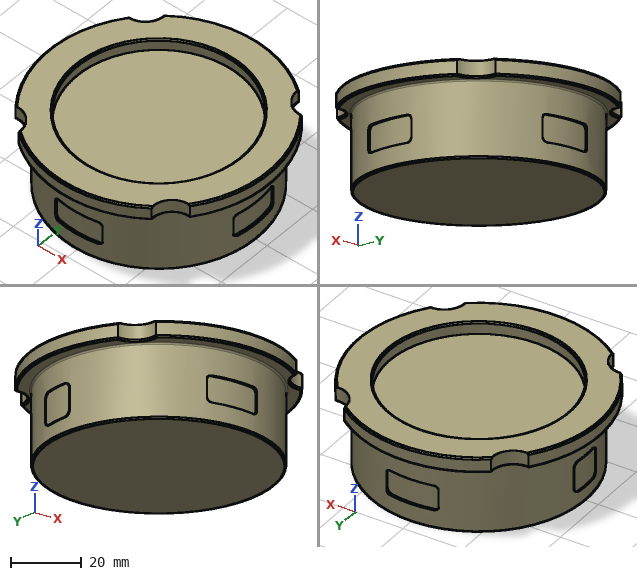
import cadquery as cq

total_height = 28.0
body_diameter = 72.0
body_edge_chamfer = 0.5

flange_diameter = 81.0
flange_thickness = 5.0
flange_edge_chamfer = 0.5
neck_fillet = 0.5

recess_diameter = 60.0
recess_depth = 4.0
recess_edge_chamfer = 0.5

scallop_radius = 7.0
scallop_offset = 31.5

pocket_center_height = 10.25
label_width = 17.5
label_height = 8.25
label_corner_radius = 1.5
label_depth = 0.7
badge_width = 11.5
badge_height = 10.25
badge_corner_radius = 2.0
badge_depth = 0.3

body_radius = body_diameter / 2
flange_radius = flange_diameter / 2
flange_underside = total_height - flange_thickness


def turned_blank():
    """Solid of revolution: round body under a wider flange, recessed on top."""
    recess_radius = recess_diameter / 2
    recess_floor = total_height - recess_depth
    return (
        cq.Workplane("XZ")
        .lineTo(body_radius - body_edge_chamfer, 0)
        .lineTo(body_radius, body_edge_chamfer)
        .lineTo(body_radius, flange_underside - neck_fillet)
        .radiusArc((body_radius + neck_fillet, flange_underside), neck_fillet)
        .lineTo(flange_radius - flange_edge_chamfer, flange_underside)
        .lineTo(flange_radius, flange_underside + flange_edge_chamfer)
        .lineTo(flange_radius, total_height - flange_edge_chamfer)
        .lineTo(flange_radius - flange_edge_chamfer, total_height)
        .lineTo(recess_radius + recess_edge_chamfer, total_height)
        .lineTo(recess_radius, total_height - recess_edge_chamfer)
        .lineTo(recess_radius, recess_floor)
        .lineTo(0, recess_floor)
        .close()
        .revolve(360, (0, 0, 0), (0, 1, 0))
    )


def flange_scallops():
    """Four upright cylinders that bite into the flange rim, flared to chamfer its lower edge."""
    flared_radius = scallop_radius + flange_edge_chamfer
    cutter = (
        cq.Workplane("XZ")
        .lineTo(flared_radius, 0)
        .lineTo(scallop_radius, flange_edge_chamfer)
        .lineTo(scallop_radius, flange_thickness)
        .lineTo(0, flange_thickness)
        .close()
        .revolve(360, (0, 0, 0), (0, 1, 0))
        .val()
    )
    return (
        cq.Workplane("XY", origin=(0, 0, flange_underside))
        .rect(2 * scallop_offset, 2 * scallop_offset, forConstruction=True)
        .vertices()
        .eachpoint(lambda place: cutter.moved(place), combine=False)
    )


def wall_pocket(angle, width, height, corner_radius, depth):
    """Rounded pocket of even depth in the body wall, turned about Z from the -Y side."""
    core = cq.Workplane("XY").circle(body_radius - depth).extrude(total_height)
    return (
        cq.Workplane("XZ", origin=(0, 0, pocket_center_height))
        .rect(width, height)
        .extrude(flange_radius)
        .edges("|Y")
        .fillet(corner_radius)
        .cut(core)
        .rotate((0, 0, 0), (0, 0, 1), angle)
    )


result = turned_blank().cut(flange_scallops())

for label_angle in (0, 90, 180):
    result = result.cut(
        wall_pocket(label_angle, label_width, label_height, label_corner_radius, label_depth)
    )

result = result.cut(
    wall_pocket(270, badge_width, badge_height, badge_corner_radius, badge_depth)
)